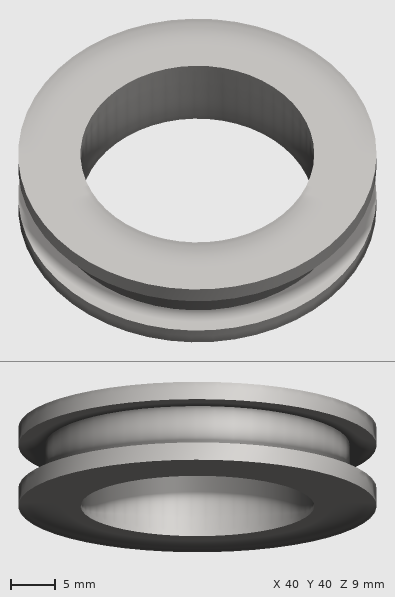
import cadquery as cq

flange_diameter = 40.0
hub_diameter = 34.0
bore_diameter = 26.1
total_height = 9.0
flange_thickness = 2.0

hub = cq.Workplane("XY").circle(hub_diameter / 2).extrude(total_height)


def flange(base_z):
    """Flat round flange whose lower face lies at base_z."""
    return cq.Workplane("XY").workplane(offset=base_z).circle(flange_diameter / 2).extrude(flange_thickness)


spool = hub
for base_z in (0, total_height - flange_thickness):
    spool = spool.union(flange(base_z))

bore = cq.Workplane("XY").circle(bore_diameter / 2).extrude(total_height)
result = spool.cut(bore)